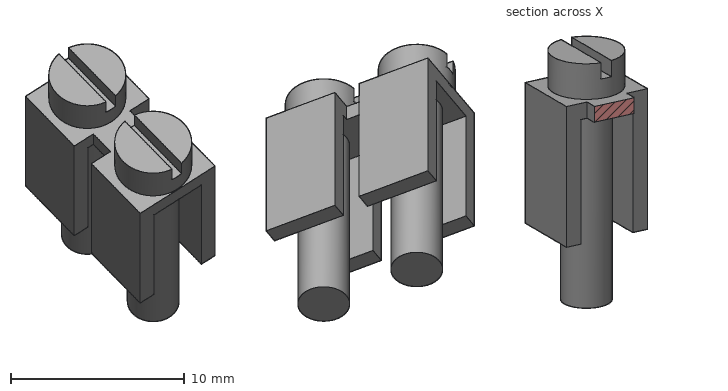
import cadquery as cq

clip_width = 4.55
clip_gap = 1.6
clip_depth = 5.5
clip_height = 8.7
sheet_thickness = 1.0
bridge_depth = 2.7

head_diameter = 4.45
head_height = 2.2
shank_diameter = 3.0
shank_projection = 4.5
slot_width = 0.7
slot_depth = 1.0

screw_pitch = clip_width + clip_gap
screw_positions = (-screw_pitch / 2, screw_pitch / 2)
shank_length = clip_height + shank_projection


def make_clip():
    """Inverted U-shaped channel, open along X, with its roof top at Z = 0."""
    block = cq.Workplane("XY").box(clip_width, clip_depth, clip_height, centered=(True, True, False))
    channel = cq.Workplane("XY").box(
        clip_width,
        clip_depth - 2 * sheet_thickness,
        clip_height - sheet_thickness,
        centered=(True, True, False),
    )
    return block.cut(channel).translate((0, 0, -clip_height))


def make_bridge():
    """Flat strip between the two clip roofs, reaching to the screw axes."""
    strip = cq.Workplane("XY").box(screw_pitch, bridge_depth, sheet_thickness, centered=(True, True, False))
    return strip.translate((0, 0, -sheet_thickness))


def make_screw():
    """Cheese-head screw on the Z axis, slotted along X, seated at Z = 0."""
    head = cq.Workplane("XY").circle(head_diameter / 2).extrude(head_height)
    shank = cq.Workplane("XY").circle(shank_diameter / 2).extrude(-shank_length)
    slot = cq.Workplane("XY").box(head_diameter, slot_width, slot_depth, centered=(True, True, False))
    slot = slot.translate((0, 0, head_height - slot_depth))
    return head.cut(slot).union(shank)


result = make_bridge()
for screw_x in screw_positions:
    result = result.union(make_clip().translate((screw_x, 0, 0)))
    result = result.union(make_screw().translate((screw_x, 0, 0)))